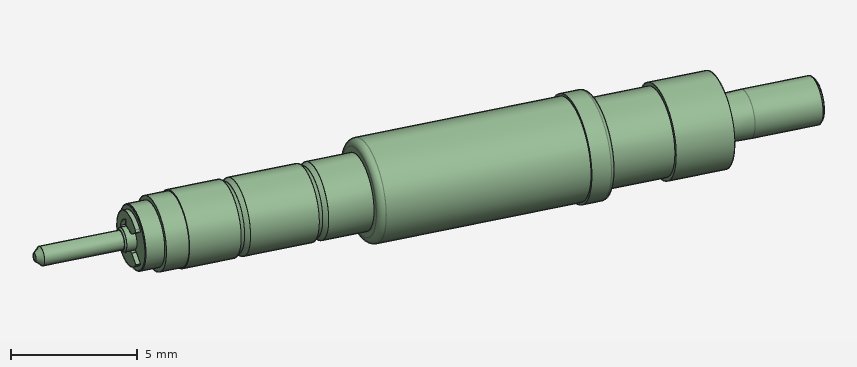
import cadquery as cq
import math

total_length = 33.3

pin_diameter = 0.8
pin_tip_diameter = 0.33
pin_tip_length = 0.25
collar_front = 3.65
collar_diameter = 1.0
collar_chamfer = 0.05

clip_front = 3.95
clip_diameter = 2.3
clip_bore_diameter = 1.55
clip_jaw_root = (0.43, 0.43)
clip_jaw_corner = (0.85, 0.73)
clip_jaw_rim = (0.7, 0.95)
clip_rear_prong_width = 0.4
clip_side_prong_angles = (40, 105)

nose_front = 4.15
nose_diameter = 2.73
nose_chamfer = 0.03
step_front = 5.0
step_diameter = 3.1

barrel_front = 5.95
barrel_diameter = 3.2
groove_centers = (8.35, 11.7)
groove_width = 0.4
groove_depth = 0.13

body_front = 13.82
body_diameter = 4.3
body_fillet = 0.3
ring_front = 22.85
ring_rear = 23.85
ring_diameter = 4.5
ring_fillet = 0.15

shank_diameter = 3.7
flange_front = 26.55
flange_rear = 29.05
flange_diameter = 4.0
neck_front_diameter = 1.93
tail_diameter = 2.0
tail_length = 3.0
tail_chamfer = 0.1
tail_front = total_length - tail_length


def cylinder(front, rear, diameter):
    """Solid cylinder on the Y axis between two stations."""
    base = cq.Workplane("XZ", origin=(0, rear, 0))
    return base.circle(diameter / 2).extrude(rear - front)


def front_pin():
    """Contact pin with a blunt conical tip."""
    pin = cylinder(0, collar_front, pin_diameter)
    tip_inset = (pin_diameter - pin_tip_diameter) / 2
    return pin.faces("<Y").chamfer(pin_tip_length, tip_inset)


def barrel():
    """Barrel with V grooves turned around it."""
    radius = barrel_diameter / 2
    blank = cylinder(barrel_front, body_front, barrel_diameter)
    for center in groove_centers:
        cutter = (
            cq.Workplane("XY")
            .moveTo(radius - groove_depth, center)
            .lineTo(radius, center - groove_width / 2)
            .lineTo(radius, center + groove_width / 2)
            .close()
            .revolve(360, (0, 0, 0), (0, 1, 0))
        )
        blank = blank.cut(cutter)
    return blank


def polar(radius, angle):
    """Point in the XZ plane at an angle from +X."""
    return (radius * math.cos(math.radians(angle)), radius * math.sin(math.radians(angle)))


def retaining_clip():
    """Clip with three prongs touching the collar and a mouth open toward +X."""
    thickness = nose_front - clip_front
    outer_radius = clip_diameter / 2
    face = cq.Workplane("XZ", origin=(0, nose_front, 0))
    clip = face.circle(outer_radius).circle(clip_bore_diameter / 2).extrude(thickness)

    bore_disc = face.circle(clip_bore_diameter / 2).extrude(thickness)
    rear_prong = face.center(-outer_radius / 2, 0).rect(outer_radius, clip_rear_prong_width)
    prongs = rear_prong.extrude(thickness)
    start_angle, end_angle = clip_side_prong_angles
    for side in (1, -1):
        wedge = (
            face.polyline([
                (0, 0),
                polar(outer_radius, side * start_angle),
                polar(outer_radius, side * end_angle),
            ])
            .close()
            .extrude(thickness)
        )
        prongs = prongs.union(wedge)
    clip = clip.union(prongs.intersect(bore_disc))

    upper_jaw = [
        (0, clip_jaw_root[1]),
        clip_jaw_root,
        clip_jaw_corner,
        clip_jaw_rim,
        (outer_radius, clip_jaw_rim[1]),
    ]
    lower_jaw = [(x, -z) for x, z in reversed(upper_jaw)]
    mouth = face.polyline(upper_jaw + lower_jaw).close().extrude(thickness)
    return clip.cut(mouth)


def tapered_neck():
    """Cone narrowing from the tail pin to the flange."""
    base = cq.Workplane("XZ", origin=(0, tail_front, 0)).circle(tail_diameter / 2)
    return base.workplane(offset=tail_front - flange_rear).circle(neck_front_diameter / 2).loft(ruled=True)


collar = cylinder(collar_front, nose_front, collar_diameter).faces("<Y").chamfer(collar_chamfer)
nose = cylinder(nose_front, step_front, nose_diameter).faces("<Y").chamfer(nose_chamfer)
body = cylinder(body_front, ring_front, body_diameter).faces("<Y").edges().fillet(body_fillet)
ring = cylinder(ring_front, ring_rear, ring_diameter).faces(">Y").edges().fillet(ring_fillet)
tail = cylinder(tail_front, total_length, tail_diameter).faces(">Y").chamfer(tail_chamfer)

result = (
    front_pin()
    .union(collar)
    .union(nose)
    .union(retaining_clip())
    .union(cylinder(step_front, barrel_front, step_diameter))
    .union(barrel())
    .union(body)
    .union(ring)
    .union(cylinder(ring_rear, flange_front, shank_diameter))
    .union(cylinder(flange_front, flange_rear, flange_diameter))
    .union(tapered_neck())
    .union(tail)
)